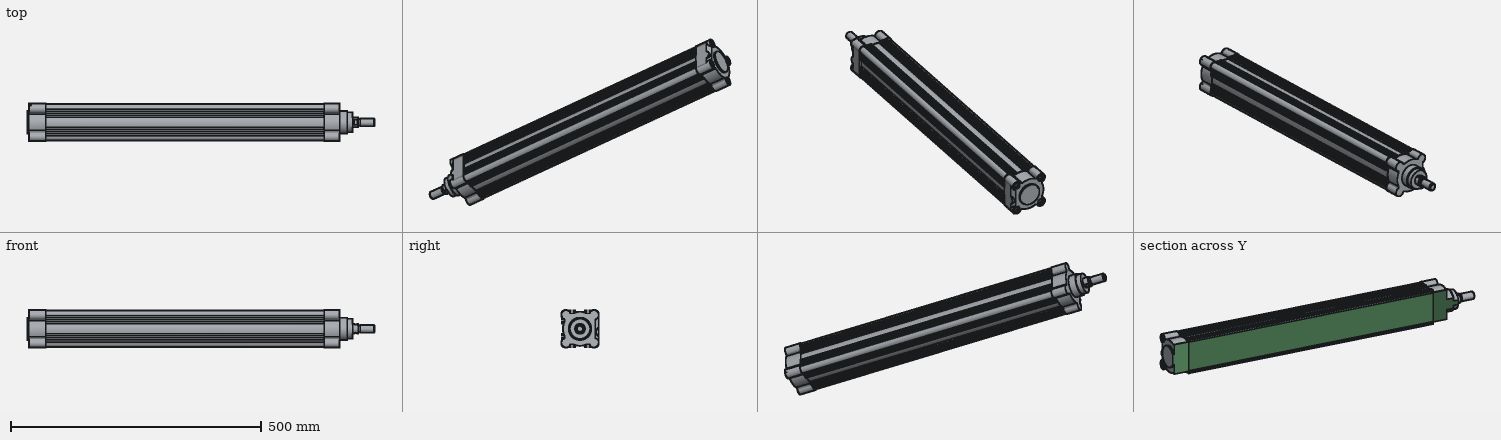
import cadquery as cq

PILOT_DEPTH = 3.5
REAR_CAP_LENGTH = 33.0
TUBE_LENGTH = 556.0
FRONT_CAP_LENGTH = 31.0
COLLAR_LENGTH = 15.0
NOSE_LENGTH = 10.5
TOTAL_LENGTH = 694.0

REAR_FACE_X = PILOT_DEPTH
TUBE_START_X = REAR_FACE_X + REAR_CAP_LENGTH
TUBE_END_X = TUBE_START_X + TUBE_LENGTH
FRONT_FACE_X = TUBE_END_X + FRONT_CAP_LENGTH
COLLAR_END_X = FRONT_FACE_X + COLLAR_LENGTH
NOSE_END_X = COLLAR_END_X + NOSE_LENGTH

CAP_WIDTH = 61.0
BULGE_DIAMETER = 69.0
LUG_SPACING = 56.0
LUG_RADIUS = 10.0
LUG_FILLET = 2.0
PILOT_DIAMETER = 45.0
COLLAR_DIAMETER = 45.0
NOSE_DIAMETER = 40.0
EDGE_TOLERANCE = 0.01
CAP_HALF_WIDTH = CAP_WIDTH / 2
LUG_OFFSET = LUG_SPACING / 2
CAP_REACH = LUG_OFFSET + LUG_RADIUS

COUNTERBORE_RADIUS = 7.0
COUNTERBORE_DEPTH = 3.5
SCREW_HOLE_RADIUS = 3.5
SCREW_HOLE_DEPTH = 10.5
CONE_DEPTH = 2.0

PAD_SLOPE_LENGTH = 7.5
PORT_BOSS_RADIUS = 11.0
PORT_BOSS_Z = -6.0
PORT_BOSS_INSET = 13.0

TUBE_HALF_WIDTH = 37.0
TUBE_CORNER_RADIUS = 9.0
BARREL_DIAMETER = 66.5
CHANNEL_HALF_WIDTH = 10.0
CHANNEL_DEPTH = 7.0
SLOT_CENTRE = 16.0
SLOT_OPENING = 4.0
SLOT_WIDTH = 8.0
SLOT_LIP = 2.0
SLOT_DEPTH = 5.5
NOTCH_START = 22.0
NOTCH_WIDTH = 4.0

ROD_DIAMETER = 20.0
ROD_LENGTH = 11.0
FLATS_WIDTH = 17.5
FLAT_START = 3.5
FLAT_LENGTH = 6.0
NECK_LENGTH = 4.0
NECK_DIAMETER = 14.0
THREAD_DIAMETER = 16.0
THREAD_CHAMFER = 2.0


def cross_section(x):
    """Workplane across the axis at x, with local x along Y and local y along Z."""
    return cq.Workplane("YZ", origin=(x, 0, 0))


def disc(x, length, diameter):
    """Cylinder on the axis, running in +X from x."""
    return cross_section(x).circle(diameter / 2).extrude(length)


def port_pad(outer_x, inward):
    """Pad filling the +Y side between the lugs; inward is the X direction away from the outer face."""
    length = REAR_CAP_LENGTH if inward > 0 else FRONT_CAP_LENGTH
    slope_end_x = outer_x + inward * PAD_SLOPE_LENGTH
    inner_x = outer_x + inward * length
    pad = (
        cq.Workplane("XY")
        .moveTo(outer_x, CAP_HALF_WIDTH)
        .lineTo(slope_end_x, CAP_REACH)
        .lineTo(inner_x, CAP_REACH)
        .lineTo(inner_x, 0)
        .lineTo(outer_x, 0)
        .close()
        .extrude(LUG_OFFSET, both=True)
    )
    boss = (
        cq.Workplane("XZ", origin=(outer_x + inward * PORT_BOSS_INSET, 0, PORT_BOSS_Z))
        .circle(PORT_BOSS_RADIUS)
        .extrude(-CAP_REACH)
    )
    return pad.union(boss)


def is_lug_corner(edge):
    """True for an edge along X where a lug meets a flat side of the core."""
    centre = edge.Center()
    return abs(max(abs(centre.y), abs(centre.z)) - CAP_HALF_WIDTH) < EDGE_TOLERANCE


def cap_block(x, length):
    """Square core with corner lugs and bulges on every side but +Y, which carries the port pad."""
    core = cross_section(x).rect(CAP_WIDTH, CAP_WIDTH).extrude(length)
    lugs = (
        cross_section(x)
        .rect(LUG_SPACING, LUG_SPACING, forConstruction=True)
        .vertices()
        .circle(LUG_RADIUS)
        .extrude(length)
    )
    bulge_limit = (
        cross_section(x)
        .center(CAP_HALF_WIDTH - BULGE_DIAMETER / 2, 0)
        .rect(BULGE_DIAMETER, BULGE_DIAMETER)
        .extrude(length)
    )
    bulges = disc(x, length, BULGE_DIAMETER).intersect(bulge_limit)
    lugged_core = core.union(lugs).edges("|X").filter(is_lug_corner).fillet(LUG_FILLET)
    return lugged_core.union(bulges)


def lug_hole(y, z):
    """Counterbored hole with a conical bottom, opening at the rear face."""
    counterbore_x = REAR_FACE_X + COUNTERBORE_DEPTH
    hole_x = REAR_FACE_X + SCREW_HOLE_DEPTH
    return (
        cq.Workplane("XY", origin=(0, y, z))
        .moveTo(REAR_FACE_X, 0)
        .lineTo(REAR_FACE_X, COUNTERBORE_RADIUS)
        .lineTo(counterbore_x, COUNTERBORE_RADIUS)
        .lineTo(counterbore_x, SCREW_HOLE_RADIUS)
        .lineTo(hole_x, SCREW_HOLE_RADIUS)
        .lineTo(hole_x + CONE_DEPTH, 0)
        .close()
        .revolve(360, (0, 0, 0), (1, 0, 0))
    )


def make_rear_cap():
    """Rear cap with its lug holes and the round pilot on its outer face."""
    cap = cap_block(REAR_FACE_X, REAR_CAP_LENGTH).union(port_pad(REAR_FACE_X, 1))
    for y in (-LUG_OFFSET, LUG_OFFSET):
        for z in (-LUG_OFFSET, LUG_OFFSET):
            cap = cap.cut(lug_hole(y, z))
    return cap.union(disc(0, PILOT_DEPTH, PILOT_DIAMETER))


def make_front_cap():
    """Front cap with the stepped guide collar for the rod."""
    cap = cap_block(TUBE_END_X, FRONT_CAP_LENGTH).union(port_pad(FRONT_FACE_X, -1))
    collar = disc(FRONT_FACE_X, COLLAR_LENGTH, COLLAR_DIAMETER)
    nose = disc(COLLAR_END_X, NOSE_LENGTH, NOSE_DIAMETER)
    return cap.union(collar).union(nose)


def side_channel():
    """Space above the barrel between the two inner ribs of the +Z side."""
    channel = (
        cross_section(TUBE_START_X)
        .center(0, TUBE_HALF_WIDTH)
        .rect(2 * CHANNEL_HALF_WIDTH, 2 * CHANNEL_DEPTH)
        .extrude(TUBE_LENGTH)
    )
    return channel.cut(disc(TUBE_START_X, TUBE_LENGTH, BARREL_DIAMETER))


def slot_and_notch(side):
    """T-slot and sloping corner notch of the +Z face; side is the sign of Y."""
    opening = (
        cross_section(TUBE_START_X)
        .center(side * SLOT_CENTRE, TUBE_HALF_WIDTH)
        .rect(SLOT_OPENING, 2 * SLOT_DEPTH)
        .extrude(TUBE_LENGTH)
    )
    undercut_height = SLOT_DEPTH - SLOT_LIP
    undercut = (
        cross_section(TUBE_START_X)
        .center(side * SLOT_CENTRE, TUBE_HALF_WIDTH - SLOT_LIP - undercut_height / 2)
        .rect(SLOT_WIDTH, undercut_height)
        .extrude(TUBE_LENGTH)
    )
    notch_end = side * (NOTCH_START + NOTCH_WIDTH)
    notch = (
        cross_section(TUBE_START_X)
        .moveTo(side * NOTCH_START, TUBE_HALF_WIDTH)
        .lineTo(notch_end, TUBE_HALF_WIDTH - NOTCH_WIDTH)
        .lineTo(notch_end, TUBE_HALF_WIDTH)
        .close()
        .extrude(TUBE_LENGTH)
    )
    return opening.union(undercut).union(notch)


def make_tube():
    """Profile bar between the caps, with the same grooves on all four sides."""
    tube = (
        cross_section(TUBE_START_X)
        .rect(2 * TUBE_HALF_WIDTH, 2 * TUBE_HALF_WIDTH)
        .extrude(TUBE_LENGTH)
        .edges("|X")
        .fillet(TUBE_CORNER_RADIUS)
    )
    grooves = side_channel().union(slot_and_notch(1)).union(slot_and_notch(-1))
    for quarter_turn in range(4):
        tube = tube.cut(grooves.rotate((0, 0, 0), (1, 0, 0), 90 * quarter_turn))
    return tube


def make_rod():
    """Piston rod end: shank with two wrench flats facing +Z and -Z, neck and threaded stud."""
    neck_x = NOSE_END_X + ROD_LENGTH
    thread_x = neck_x + NECK_LENGTH
    shank = disc(NOSE_END_X, ROD_LENGTH, ROD_DIAMETER)
    between_flats = (
        cross_section(NOSE_END_X + FLAT_START)
        .rect(ROD_DIAMETER, FLATS_WIDTH)
        .extrude(FLAT_LENGTH)
    )
    flats = disc(NOSE_END_X + FLAT_START, FLAT_LENGTH, ROD_DIAMETER).cut(between_flats)
    neck = disc(neck_x, NECK_LENGTH, NECK_DIAMETER)
    thread = (
        disc(thread_x, TOTAL_LENGTH - thread_x, THREAD_DIAMETER)
        .faces(">X")
        .chamfer(THREAD_CHAMFER)
    )
    return shank.cut(flats).union(neck).union(thread)


rear_cap = make_rear_cap()
tube = make_tube()
front_cap = make_front_cap()
rod = make_rod()

result = cq.Compound.makeCompound([rear_cap.val(), tube.val(), front_cap.val(), rod.val()])